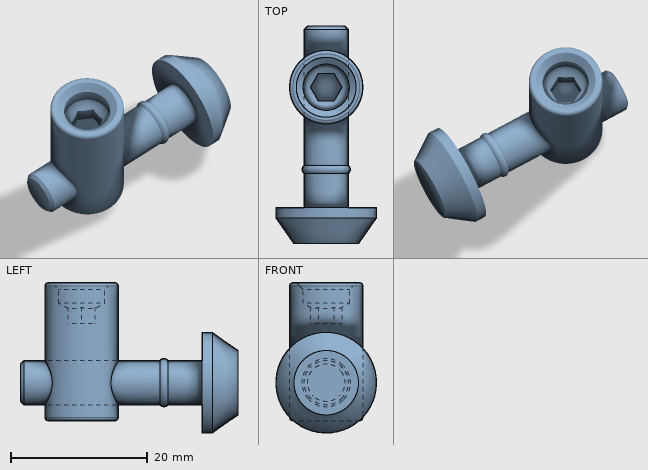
import cadquery as cq
import math


barrel_radius = 5.4
barrel_top = 14.7
barrel_bottom = -5.6
barrel_fillet = 0.5

mouth_radius = 4.4
bore_radius = 3.4
mouth_depth = mouth_radius - bore_radius
bore_depth = 2.0
drill_point_angle = 120.0
hex_sides = 6
hex_across_flats = 4.0
hex_floor_depth = 6.0

shank_radius = 3.25
shank_end = 9.0
shank_chamfer = 0.5

bead_position = -12.1
bead_radius = 3.55
bead_section_radius = 0.75

head_radius = 7.4
head_length = 5.3
head_rim = 1.5
head_taper_angle = 35.0
head_face = -23.0


def make_recess():
    """Return the volume removed from the barrel top."""
    bore_top = barrel_top - mouth_depth
    bore_floor = bore_top - bore_depth
    hex_floor = barrel_top - hex_floor_depth
    point_depth = bore_radius / math.tan(math.radians(drill_point_angle / 2))
    turned = (
        cq.Workplane("XZ")
        .moveTo(0, barrel_top)
        .lineTo(mouth_radius, barrel_top)
        .lineTo(bore_radius, bore_top)
        .lineTo(bore_radius, bore_floor)
        .lineTo(0, bore_floor - point_depth)
        .close()
        .revolve(360, (0, 0), (0, 1))
    )
    hex_across_corners = hex_across_flats / math.cos(math.pi / hex_sides)
    socket = (
        cq.Workplane("XY")
        .workplane(offset=hex_floor)
        .polygon(hex_sides, hex_across_corners)
        .extrude(bore_floor - hex_floor)
    )
    return turned.union(socket)


def make_barrel():
    """Return the upright barrel with its recess and the cross hole for the pin."""
    blank = (
        cq.Workplane("XY")
        .workplane(offset=barrel_bottom)
        .circle(barrel_radius)
        .extrude(barrel_top - barrel_bottom)
        .edges("%CIRCLE")
        .fillet(barrel_fillet)
    )
    cross_hole = cq.Workplane("XZ").circle(shank_radius).extrude(2 * barrel_radius, both=True)
    return blank.cut(make_recess()).cut(cross_hole)


def make_pin():
    """Return the pin: chamfered shank, bead and tapered head turned about Y."""
    head_back = head_face + head_length
    taper_start = head_back - head_rim
    face_radius = head_radius - (taper_start - head_face) * math.tan(math.radians(head_taper_angle))
    bead_centre_radius = bead_radius - bead_section_radius
    bead_half_width = math.sqrt(bead_section_radius**2 - (shank_radius - bead_centre_radius) ** 2)
    return (
        cq.Workplane("XY")
        .moveTo(0, head_face)
        .lineTo(face_radius, head_face)
        .lineTo(head_radius, taper_start)
        .lineTo(head_radius, head_back)
        .lineTo(shank_radius, head_back)
        .lineTo(shank_radius, bead_position - bead_half_width)
        .threePointArc(
            (bead_radius, bead_position),
            (shank_radius, bead_position + bead_half_width),
        )
        .lineTo(shank_radius, shank_end - shank_chamfer)
        .lineTo(shank_radius - shank_chamfer, shank_end)
        .lineTo(0, shank_end)
        .close()
        .revolve(360, (0, 0), (0, 1))
    )


barrel = make_barrel()
pin = make_pin()

result = cq.Compound.makeCompound([barrel.val(), pin.val()])